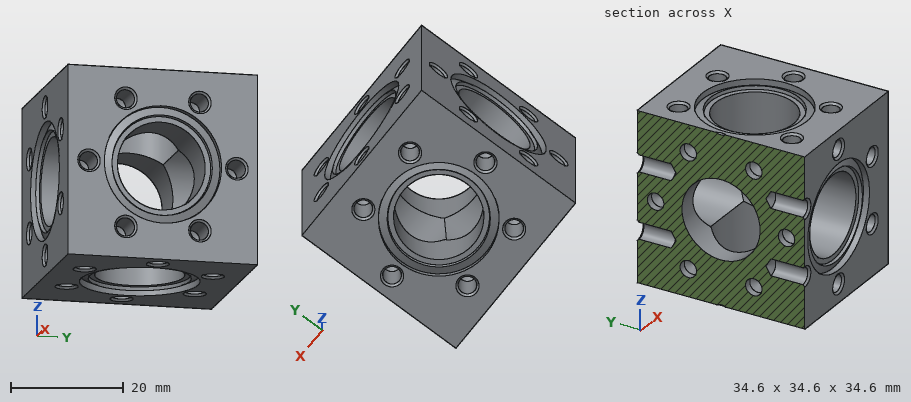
import cadquery as cq


cube_size = 34.6
half_size = cube_size / 2
bore_radius = 16.0 / 2

recess_radius = 21.4 / 2
recess_depth = 1.25
knife_radius = 18.3 / 2
knife_depth = 0.55
seat_radius = 18.0 / 2
seat_depth = 1.2

bolt_count = 6
bolt_circle_radius = 27.0 / 2
bolt_hole_radius = 3.3 / 2
bolt_mouth_radius = 4.1 / 2
bolt_mouth_depth = bolt_mouth_radius - bolt_hole_radius
bolt_hole_depth = 7.0
drill_tip_depth = 1.0

faces = [
    ((0, -1, 0), (0, 0, 1)),
    ((0, 1, 0), (0, 0, 1)),
    ((0, 0, 1), (1, 0, 0)),
    ((0, 0, -1), (1, 0, 0)),
    ((-1, 0, 0), (0, 1, 0)),
    ((1, 0, 0), (0, 1, 0)),
]


def revolve_profile(points):
    """Revolve a closed (radius, height) profile about the Z axis."""
    return cq.Workplane("XZ").polyline(points).close().revolve(360, (0, 0), (0, 1))


def make_port():
    """Port cutter with the face at height 0: bore, flat seat, knife edge and recess."""
    return revolve_profile([
        (0, 0),
        (recess_radius, 0),
        (recess_radius, -recess_depth),
        (knife_radius, -knife_depth),
        (seat_radius, -seat_depth),
        (bore_radius, -seat_depth),
        (bore_radius, -half_size),
        (0, -half_size),
    ])


def make_bolt_hole():
    """Blind bolt hole cutter with a countersunk mouth and a conical drill tip."""
    return revolve_profile([
        (0, 0),
        (bolt_mouth_radius, 0),
        (bolt_hole_radius, -bolt_mouth_depth),
        (bolt_hole_radius, -bolt_hole_depth),
        (0, -bolt_hole_depth - drill_tip_depth),
    ])


def make_face_cutter():
    """Everything removed from one face: the port and its circle of bolt holes."""
    cutter = make_port()
    first_hole = make_bolt_hole().translate((bolt_circle_radius, 0, 0))
    for index in range(bolt_count):
        angle = index * 360 / bolt_count
        cutter = cutter.add(first_hole.rotate((0, 0, 0), (0, 0, 1), angle))
    return cutter.vals()


result = cq.Workplane("XY").box(cube_size, cube_size, cube_size)
face_cutter = make_face_cutter()
for normal, first_hole_direction in faces:
    face_center = tuple(half_size * component for component in normal)
    face_plane = cq.Plane(face_center, first_hole_direction, normal)
    for tool in face_cutter:
        result = result.cut(cq.Workplane(tool.moved(face_plane.location)))